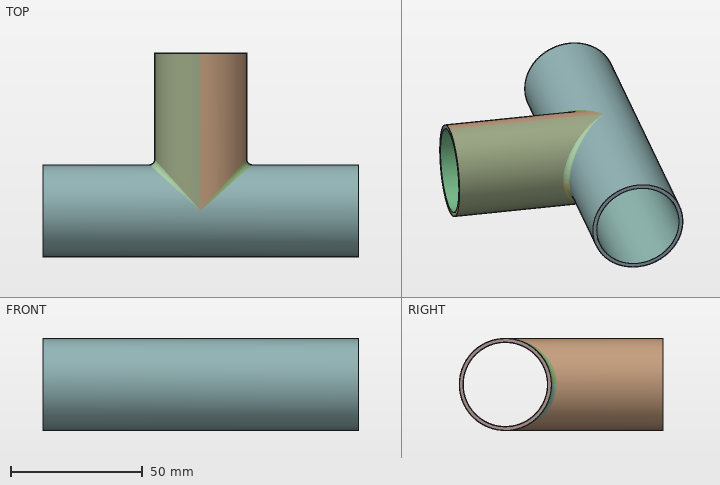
import cadquery as cq

run_length = 120.0
outer_diameter = 35.0
bore_diameter = 32.0
weld_radius = 2.0

outer_radius = outer_diameter / 2
branch_length = run_length / 2


def crossing_cylinders(diameter):
    """Run and branch cylinders of one diameter, whose axes cross at the origin."""
    run = cq.Workplane("YZ").circle(diameter / 2).extrude(run_length / 2, both=True)
    branch = cq.Workplane("XZ").circle(diameter / 2).extrude(-branch_length)
    return run.union(branch)


def rounded_half(tee):
    """The +X half of the tee with its crotch rounded.

    The rounding fades out where the pipes are tangent, on the plane that halves the tee.
    """
    keep_size = 2 * run_length
    keep_box = cq.Workplane("XY").box(keep_size, keep_size, keep_size, centered=(False, True, True))
    seam_margin = outer_radius / 4
    seam_box = cq.selectors.BoxSelector(
        (seam_margin, seam_margin, -outer_radius),
        (outer_radius, outer_radius, outer_radius),
    )
    return tee.intersect(keep_box).edges(seam_box).fillet(weld_radius)


welded_half = rounded_half(crossing_cylinders(outer_diameter))
body = welded_half.union(welded_half.mirror("YZ")).clean()
bored = body.cut(crossing_cylinders(bore_diameter))
result = bored.solids()